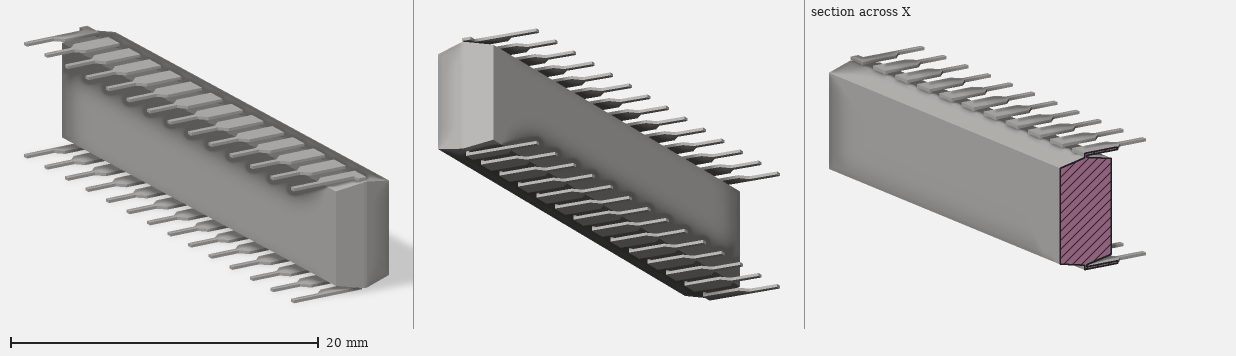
import cadquery as cq


body_length = 34.65
body_height = 7.3
half_depth = 1.93
draft_angle = 11.5

leads_per_row = 14
lead_pitch = 2.54
lead_thickness = 0.2
row_span = 7.91
lead_reach = 5.19
shoulder_width = 1.43
tip_width = 0.38
shoulder_length = 2.62
neck_length = (shoulder_width - tip_width) / 2
root_embed = 0.5

tab_depth = 0.62
tab_end_inset = 0.07
tab_end_x = body_length / 2 - tab_end_inset

outer_z = row_span / 2
inner_z = outer_z - lead_thickness
end_lead_x = lead_pitch * (leads_per_row - 1) / 2
neck_start_y = -shoulder_length
neck_end_y = neck_start_y - neck_length


def drafted_half(start_y, direction):
    """Half of the body, narrowing away from the parting band at start_y."""
    plane = cq.Plane(origin=(0, start_y, 0), xDir=(1, 0, 0), normal=(0, direction, 0))
    return cq.Workplane(plane).rect(body_length, body_height).extrude(half_depth, taper=draft_angle)


def make_body():
    """Two drafted halves joined by a straight band as thick as the lead frame."""
    band = cq.Workplane("XY").box(body_length, lead_thickness, body_height)
    band = band.translate((0, -lead_thickness / 2, 0))
    return band.union(drafted_half(0, 1)).union(drafted_half(-lead_thickness, -1))


def lead_side(shoulder_x, tip_x):
    """Points down one long edge of a lead, from its back to its tip."""
    points = [(shoulder_x, 0), (shoulder_x, neck_start_y), (tip_x, neck_end_y), (tip_x, -lead_reach)]
    if shoulder_x == tip_x:
        return [points[0], points[-1]]
    return points


def make_lead(x, row_side):
    """One lead: a flat blade outside the body and a root running into it."""
    left_shoulder = -shoulder_width / 2
    right_shoulder = shoulder_width / 2
    left_tip = -tip_width / 2
    right_tip = tip_width / 2
    if x == -end_lead_x:
        left_shoulder = left_tip
    if x == end_lead_x:
        right_shoulder = right_tip

    outline = lead_side(left_shoulder, left_tip) + lead_side(right_shoulder, right_tip)[::-1]
    blade_base_z = inner_z if row_side > 0 else -outer_z
    blade = cq.Workplane("XY").workplane(offset=blade_base_z).polyline(outline).close().extrude(lead_thickness)

    root_height = root_embed + lead_thickness
    root = cq.Workplane("XY").box(right_shoulder - left_shoulder, lead_thickness, root_height)
    root = root.translate((
        (left_shoulder + right_shoulder) / 2,
        -lead_thickness / 2,
        row_side * (outer_z - root_height / 2),
    ))
    return blade.union(root).translate((x, 0, 0))


def make_end_tab(end_side):
    """Flat tab from an end lead of the +Z row out to the end of the body."""
    tab_length = tab_end_x - end_lead_x
    tab = cq.Workplane("XY").box(tab_length, tab_depth, lead_thickness)
    return tab.translate((
        end_side * (end_lead_x + tab_length / 2),
        -tab_depth / 2,
        outer_z - lead_thickness / 2,
    ))


result = make_body()
for row_side in (-1, 1):
    for index in range(leads_per_row):
        result = result.union(make_lead(index * lead_pitch - end_lead_x, row_side))
for end_side in (-1, 1):
    result = result.union(make_end_tab(end_side))